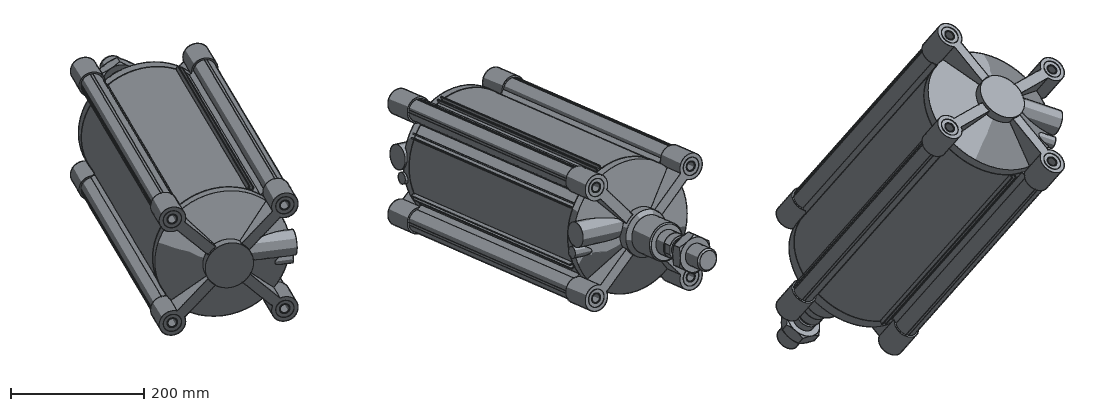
import cadquery as cq
import math


NUT_X = 33.0
THREAD_END_X = 67.0
WRENCH_X = 72.0
WRENCH_FLATS_END_X = 85.5
WRENCH_END_X = 87.5
GLAND_X = 106.5
FLANGE_X = 154.0
FRONT_LUG_X = 165.5
FRONT_CONE_X = 175.0
FRONT_RIM_X = 200.0
BARREL_X = 215.5
BARREL_END_X = 624.0
REAR_RIM_X = 638.0
REAR_CONE_X = 664.5
REAR_LUG_X = 674.0
TOTAL_LENGTH = 678.0

THREAD_DIA = 36.0
RELIEF_DIA = 32.0
ROD_DIA = 40.0
WRENCH_DIA = 39.0
WRENCH_FLATS = 36.5
ROD_CHAMFER = 3.0
NUT_FLATS = 55.0
NUT_LENGTH = 20.0
NUT_CHAMFER = 3.0

RIM_DIA = 210.0
HUB_DIA = 75.0
GLAND_DIA = 61.0
GLAND_CHAMFER = 2.0
FLANGE_TAPER = 5.5
RIB_WIDTH = 17.0
LUG_OFFSET = 87.5
LUG_DIA = 41.5
LUG_RECESS_DIA = 28.5
LUG_RECESS_DEPTH = 1.0
LUG_HOLE_DIA = 13.5
LUG_HOLE_MOUTH_DIA = 16.0
LUG_REACH = LUG_OFFSET + LUG_DIA / 2

PORT_DIA = 39.0
PORT_Z = 10.0
CUSHION_DIA = 18.0
CUSHION_Z = -20.5

BORE_DIA = 200.0
BARREL_DIA = 209.0
LOBE_DIA = 36.0
WEB_WIDTH = 28.5
SLIT_WIDTH = 4.0
SLIT_DEPTH = 1.0
SLIT_SHIFT = 1.5
RAIL_RADIUS = 110.5
RAIL_SIZE = 2.0
RAIL_ANGLES = (24.5, 28.2, 61.8, 65.5)

CORNER_ANGLES = (45, 135, 225, 315)
CORNER_DISTANCE = LUG_OFFSET * math.sqrt(2)


def cylinder(x_start, x_end, diameter, y=0.0, z=0.0):
    """Round bar parallel to the axis; x_end may lie on either side of x_start."""
    return (
        cq.Workplane("YZ", origin=(x_start, y, z))
        .circle(diameter / 2)
        .extrude(x_end - x_start)
    )


def radial_bar(x_start, x_end, inner, outer, width, angle):
    """Bar of the given width running outward from the axis at an angle from +Y."""
    bar = cq.Workplane("XY").box(
        x_end - x_start, outer - inner, width, centered=(False, False, True)
    )
    return bar.translate((x_start, inner, 0)).rotate((0, 0, 0), (1, 0, 0), angle)


def revolved(points):
    """Solid of revolution about X from an (x, radius) outline."""
    return cq.Workplane("XY").polyline(points).close().revolve(360, (0, 0, 0), (1, 0, 0))


def corners():
    """(y, z) of the four lugs."""
    return [(y, z) for y in (-LUG_OFFSET, LUG_OFFSET) for z in (-LUG_OFFSET, LUG_OFFSET)]


def make_piston_rod():
    """Threaded end, relief groove, wrench flats on the Y sides, and rod up to the barrel."""
    rod = cylinder(0, THREAD_END_X, THREAD_DIA).faces("<X or >X").chamfer(ROD_CHAMFER)
    rod = rod.union(cylinder(THREAD_END_X - ROD_CHAMFER, WRENCH_X, RELIEF_DIA))
    wrench = cylinder(WRENCH_X, WRENCH_FLATS_END_X, WRENCH_DIA).intersect(
        cq.Workplane("XY").box(TOTAL_LENGTH, WRENCH_FLATS, WRENCH_DIA)
    )
    wrench = wrench.union(cylinder(WRENCH_FLATS_END_X, WRENCH_END_X, WRENCH_DIA))
    return rod.union(wrench).union(cylinder(WRENCH_END_X, BARREL_X, ROD_DIA))


def make_nut():
    """Hexagon nut with chamfered corners, two of them in the XZ plane."""
    corner_dia = NUT_FLATS / math.cos(math.pi / 6)
    nut = (
        cq.Workplane("YZ", origin=(NUT_X, 0, 0))
        .polygon(6, corner_dia)
        .extrude(NUT_LENGTH)
        .rotate((0, 0, 0), (1, 0, 0), 90)
    )
    nut_end = NUT_X + NUT_LENGTH
    corner_r, face_r = corner_dia / 2, NUT_FLATS / 2
    rounding = revolved([
        (NUT_X, 0),
        (NUT_X, face_r),
        (NUT_X + NUT_CHAMFER, corner_r),
        (nut_end - NUT_CHAMFER, corner_r),
        (nut_end, face_r),
        (nut_end, 0),
    ])
    return nut.intersect(rounding).cut(cylinder(NUT_X, nut_end, THREAD_DIA))


def add_corner_mounts(cover, outer_x, inner_x, rim_x):
    """Adds the four lugs and ribs between the cover's outer and inner end planes."""
    start, end = min(outer_x, inner_x), max(outer_x, inner_x)
    rib_start, rib_end = min(outer_x, rim_x), max(outer_x, rim_x)
    for angle in CORNER_ANGLES:
        cover = cover.union(radial_bar(rib_start, rib_end, HUB_DIA / 4, CORNER_DISTANCE, RIB_WIDTH, angle))
    for y, z in corners():
        cover = cover.union(cylinder(start, end, LUG_DIA, y, z))
    return cover


def drill_lugs(cover, outer_x, inner_x):
    """Cuts each lug's shallow face recess and its hole with a slightly wider mouth."""
    inward = math.copysign(1, inner_x - outer_x)
    recess_x = outer_x + inward * LUG_RECESS_DEPTH
    mouth_x = recess_x + inward * LUG_RECESS_DEPTH
    for y, z in corners():
        cover = cover.cut(cylinder(outer_x, recess_x, LUG_RECESS_DIA, y, z))
        cover = cover.cut(cylinder(recess_x, mouth_x, LUG_HOLE_MOUTH_DIA, y, z))
        cover = cover.cut(cylinder(mouth_x, inner_x, LUG_HOLE_DIA, y, z))
    return cover


def add_port_bosses(cover, outer_x, inner_x, rim_x):
    """Adds the port boss midway along the lugs and the cushion-screw boss at the rim edge."""
    port_x = (outer_x + inner_x) / 2
    for x, z, diameter in ((port_x, PORT_Z, PORT_DIA), (rim_x, CUSHION_Z, CUSHION_DIA)):
        boss = cq.Workplane("XZ", origin=(x, 0, z)).circle(diameter / 2).extrude(-LUG_REACH)
        cover = cover.union(boss)
    return cover


def make_front_cover():
    """Conical end cover with a gland tube around the rod, lugs, ribs and port bosses."""
    gland_r, hub_r, rim_r = GLAND_DIA / 2, HUB_DIA / 2, RIM_DIA / 2
    cover = revolved([
        (GLAND_X, 0),
        (GLAND_X, gland_r - GLAND_CHAMFER),
        (GLAND_X + GLAND_CHAMFER, gland_r),
        (FLANGE_X, gland_r),
        (FLANGE_X + FLANGE_TAPER, hub_r),
        (FRONT_CONE_X, hub_r),
        (FRONT_RIM_X, rim_r),
        (BARREL_X, rim_r),
        (BARREL_X, 0),
    ])
    cover = add_corner_mounts(cover, FRONT_LUG_X, BARREL_X, FRONT_RIM_X)
    cover = add_port_bosses(cover, FRONT_LUG_X, BARREL_X, FRONT_RIM_X)
    cover = drill_lugs(cover, FRONT_LUG_X, BARREL_X)
    return cover.cut(cylinder(GLAND_X, BARREL_X, ROD_DIA))


def make_rear_cover():
    """Conical end cover with a closed hub, lugs, ribs and port bosses."""
    hub_r, rim_r = HUB_DIA / 2, RIM_DIA / 2
    cover = revolved([
        (BARREL_END_X, 0),
        (BARREL_END_X, rim_r),
        (REAR_RIM_X, rim_r),
        (REAR_CONE_X, hub_r),
        (TOTAL_LENGTH, hub_r),
        (TOTAL_LENGTH, 0),
    ])
    cover = add_corner_mounts(cover, REAR_LUG_X, BARREL_END_X, REAR_RIM_X)
    cover = add_port_bosses(cover, REAR_LUG_X, BARREL_END_X, REAR_RIM_X)
    return drill_lugs(cover, REAR_LUG_X, BARREL_END_X)


def slit_cutter(size_y, size_z):
    """Bar the length of the barrel, centred on the axis."""
    length = BARREL_END_X - BARREL_X
    bar = cq.Workplane("XY").box(length, size_y, size_z, centered=(False, True, True))
    return bar.translate((BARREL_X, 0, 0))


def make_barrel():
    """Tube with four webbed lobes, two slits along each lobe, and rail pairs on the +Y half."""
    barrel = cylinder(BARREL_X, BARREL_END_X, BARREL_DIA)
    for angle in CORNER_ANGLES:
        barrel = barrel.union(
            radial_bar(BARREL_X, BARREL_END_X, BORE_DIA / 2, CORNER_DISTANCE, WEB_WIDTH, angle)
        )
    for y, z in corners():
        barrel = barrel.union(cylinder(BARREL_X, BARREL_END_X, LOBE_DIA, y, z))
        side_y, side_z = math.copysign(1, y), math.copysign(1, z)
        side_slit = slit_cutter(2 * SLIT_DEPTH, SLIT_WIDTH)
        level_slit = slit_cutter(SLIT_WIDTH, 2 * SLIT_DEPTH)
        barrel = barrel.cut(side_slit.translate((0, y + side_y * LOBE_DIA / 2, z + side_z * SLIT_SHIFT)))
        barrel = barrel.cut(level_slit.translate((0, y + side_y * SLIT_SHIFT, z + side_z * LOBE_DIA / 2)))
    for angle in RAIL_ANGLES:
        for side in (-1, 1):
            barrel = barrel.union(
                radial_bar(BARREL_X, BARREL_END_X, BORE_DIA / 2, RAIL_RADIUS, RAIL_SIZE, side * angle)
            )
    return barrel.cut(cylinder(BARREL_X, BARREL_END_X, BORE_DIA))


piston_rod = make_piston_rod()
nut = make_nut()
front_cover = make_front_cover()
barrel = make_barrel()
rear_cover = make_rear_cover()

result = cq.Compound.makeCompound(
    [piston_rod.val(), nut.val(), front_cover.val(), barrel.val(), rear_cover.val()]
)